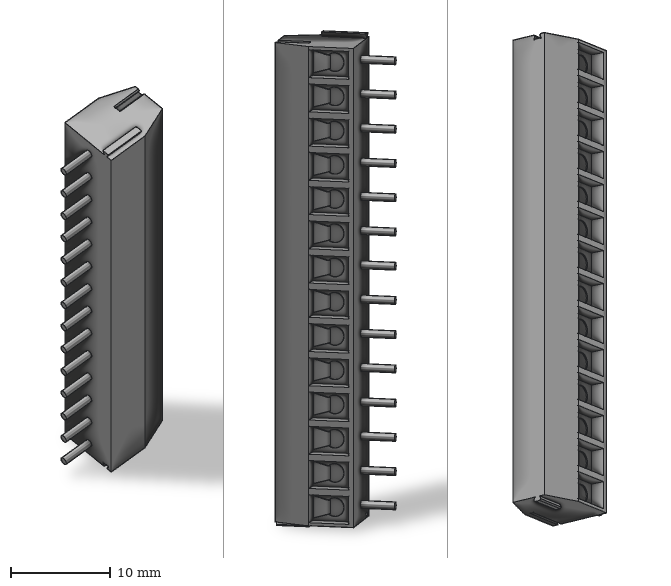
import cadquery as cq

pole_count = 14
pitch = 3.5
body_width = 6.8
body_depth = 8.4
body_height = pole_count * pitch
back_width = 4.0
straight_depth = 4.65

pin_diameter = 0.8
pin_length = 3.5
pin_x = 3.55

pocket_front = 0.5
pocket_back = straight_depth
pocket_height = 2.85
pocket_depth = 1.4
pocket_draft = 0.15

wire_seat_diameter = 1.9
wire_seat_y = 2.27
wire_seat_depth = 0.15

leaf_tip_y = 2.75
leaf_root_y = pocket_back - pocket_draft
leaf_tip_height = 1.36
leaf_root_height = 2.35
leaf_rise = 0.25
leaf_thickness = leaf_rise + wire_seat_depth

rail_height = 0.48

front_rail_x = 5.97
front_rail_root = 0.4
front_rail_tip = 0.8
front_rail_length = 4.6

back_rail_x = 2.3
back_rail_narrow = 0.6
back_rail_wide = 0.9
back_rail_flare = 0.15
back_rail_length = 3.35


def make_bar(x_center, stations, y_start, y_end):
    """Bar along Y whose section is symmetric about x_center, given as (width, z) stations."""
    right_side = [(x_center + width / 2, z) for width, z in stations]
    left_side = [(x_center - width / 2, z) for width, z in reversed(stations)]
    section = cq.Workplane("XZ", origin=(0, y_end, 0)).polyline(right_side + left_side).close()
    return section.extrude(y_end - y_start)


def make_body():
    taper_inset = (body_width - back_width) / 2
    outline = [
        (0, 0),
        (body_width, 0),
        (body_width, straight_depth),
        (body_width - taper_inset, body_depth),
        (taper_inset, body_depth),
        (0, straight_depth),
    ]
    return cq.Workplane("XY").polyline(outline).close().extrude(body_height)


def make_front_dovetail(z_root):
    stations = [(front_rail_root, z_root), (front_rail_tip, z_root + rail_height)]
    return make_bar(front_rail_x, stations, 0, front_rail_length)


def make_back_rail():
    stations = [
        (back_rail_narrow, 0),
        (back_rail_wide, back_rail_flare - rail_height),
        (back_rail_narrow, -rail_height),
    ]
    return make_bar(back_rail_x, stations, body_depth - back_rail_length, body_depth)


def make_back_groove():
    stations = [
        (back_rail_wide, body_height),
        (back_rail_narrow, body_height - back_rail_flare),
        (back_rail_wide, body_height - rail_height),
    ]
    return make_bar(back_rail_x, stations, body_depth - back_rail_length, body_depth)


def make_pocket(z_center):
    outline = [
        (0, pocket_front),
        (pocket_depth, pocket_front + pocket_draft),
        (pocket_depth, pocket_back - pocket_draft),
        (0, pocket_back),
    ]
    bottom = cq.Workplane("XY", origin=(0, 0, z_center - pocket_height / 2))
    return bottom.polyline(outline).close().extrude(pocket_height)


def make_wire_seat(z_center):
    floor = cq.Workplane("YZ", origin=(pocket_depth, wire_seat_y, z_center))
    return floor.circle(wire_seat_diameter / 2).extrude(wire_seat_depth)


def make_leaf(z_center):
    leaf_top_x = pocket_depth - leaf_rise
    leaf_base_x = leaf_top_x + leaf_thickness
    trapezoid = [
        (leaf_tip_y, -leaf_tip_height / 2),
        (leaf_root_y, -leaf_root_height / 2),
        (leaf_root_y, leaf_root_height / 2),
        (leaf_tip_y, leaf_tip_height / 2),
    ]
    plate = cq.Workplane("YZ", origin=(leaf_top_x, 0, z_center)).polyline(trapezoid).close()
    plate = plate.extrude(leaf_thickness)

    side = cq.Workplane("XY", origin=(0, 0, z_center)).moveTo(leaf_base_x, leaf_tip_y)
    side = side.radiusArc((leaf_top_x, leaf_tip_y + leaf_thickness), leaf_thickness)
    side = side.lineTo(leaf_top_x, leaf_root_y - leaf_thickness)
    side = side.radiusArc((leaf_base_x, leaf_root_y), leaf_thickness).close()
    return plate.intersect(side.extrude(leaf_root_height / 2, both=True))


def make_pin(z_center):
    front_face = cq.Workplane("XZ", origin=(pin_x, 0, z_center))
    return front_face.circle(pin_diameter / 2).extrude(pin_length)


result = make_body()
result = result.union(make_front_dovetail(body_height)).cut(make_front_dovetail(0))
result = result.union(make_back_rail()).cut(make_back_groove())
for pole in range(pole_count):
    pole_z = (pole + 0.5) * pitch
    result = result.cut(make_pocket(pole_z)).cut(make_wire_seat(pole_z))
    result = result.union(make_leaf(pole_z)).union(make_pin(pole_z))